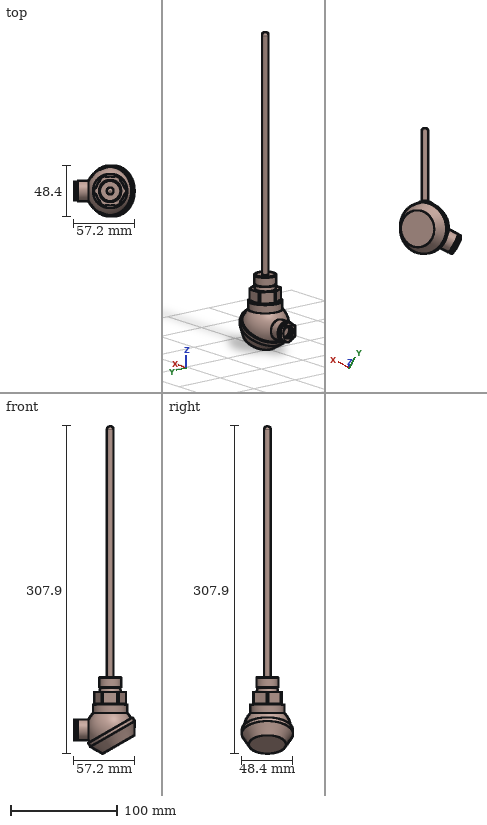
import cadquery as cq
import math


head_radius = 22.6
collar_diameter = 32.4
collar_top = 23.7
port_diameter = 19.6
port_end_x = -30.4

cover_tilt = 30.0
rim_diameter = 48.4
joint_offset = 0.4
rim_thickness = 4.0
cover_thickness = 15.5
cover_taper = 30.5

gland_end_x = -34.0
gland_nut_length = 2.0
gland_nut_flats = 17.6
gland_nut_corner_diameter = 19.6
gland_neck_diameter = 13.4
gland_bore_diameter = 12.0
gland_bore_depth = 6.0
gland_length = 10.0

hex_flats = 27.0
hex_corner_diameter = 30.1
hex_height = 11.0
thread_diameter = 20.955
thread_chamfer = 0.9
thread_length = 10.2
neck_height = 3.8
neck_top_diameter = 18.8
neck_base_diameter = 20.6

ring_diameter = 27.0
ring_thickness = 1.0

sheath_diameter = 6.5
sheath_tip_radius = 3.0
overall_height = 307.89

cone_height = cover_thickness - rim_thickness
cover_end_radius = rim_diameter / 2 - cone_height * math.tan(math.radians(cover_taper))
tilt = math.radians(cover_tilt)
lowest_z = -((joint_offset + cover_thickness) * math.cos(tilt) + cover_end_radius * math.sin(tilt))
hex_bottom = collar_top + ring_thickness
hex_top = hex_bottom + hex_height
thread_bottom = hex_top + neck_height
thread_top = thread_bottom + thread_length
sheath_top = lowest_z + overall_height
gland_socket_depth = gland_end_x + gland_length - port_end_x
circumscribed = 1 / math.cos(math.pi / 6)
trim_reach = 3 * head_radius

joint_plane = cq.Plane(
    origin=(joint_offset * math.sin(tilt), 0, -joint_offset * math.cos(tilt)),
    xDir=(math.cos(tilt), 0, math.sin(tilt)),
    normal=(-math.sin(tilt), 0, math.cos(tilt)),
)


def cylinder_along_x(start_x, diameter, length):
    return cq.Workplane("YZ", origin=(start_x, 0, 0)).circle(diameter / 2).extrude(length)


def upright_cylinder(start_z, diameter, height):
    return cq.Workplane("XY", origin=(0, 0, start_z)).circle(diameter / 2).extrude(height)


def make_housing():
    """Ball with a collar on top and a cable port, cut off flat along the slanted joint."""
    ball = cq.Workplane("XY").sphere(head_radius)
    collar = upright_cylinder(0, collar_diameter, collar_top)
    port = cylinder_along_x(port_end_x, port_diameter, -port_end_x)
    upper_side = cq.Workplane(joint_plane).circle(trim_reach).extrude(trim_reach)
    gland_socket = cylinder_along_x(port_end_x, gland_neck_diameter, gland_socket_depth)
    return ball.union(collar).union(port).intersect(upper_side).cut(gland_socket)


def make_cover():
    """Cylindrical rim that tapers to a flat end."""
    rim_radius = rim_diameter / 2
    joint_z = -joint_offset
    end_z = joint_z - cover_thickness
    half_profile = (
        cq.Workplane("XZ")
        .moveTo(0, joint_z)
        .lineTo(rim_radius, joint_z)
        .lineTo(rim_radius, joint_z - rim_thickness)
        .lineTo(cover_end_radius, end_z)
        .lineTo(0, end_z)
        .close()
    )
    upright_cover = half_profile.revolve(360, (0, 0, 0), (0, 1, 0))
    return upright_cover.rotate((0, 0, 0), (0, 1, 0), -cover_tilt)


def make_gland():
    """Thin hexagon with flats facing +Y and -Y, on a neck that fills the port socket, with a blind bore."""
    corner_turning = cylinder_along_x(gland_end_x, gland_nut_corner_diameter, gland_nut_length)
    hexagon = (
        cq.Workplane("YZ", origin=(gland_end_x, 0, 0))
        .transformed(rotate=(0, 0, 90))
        .polygon(6, gland_nut_flats * circumscribed)
        .extrude(gland_nut_length)
        .intersect(corner_turning)
    )
    neck = cylinder_along_x(gland_end_x, gland_neck_diameter, gland_length)
    bore = cylinder_along_x(gland_end_x, gland_bore_diameter, gland_bore_depth)
    return hexagon.union(neck).cut(bore)


def make_sealing_ring():
    """Flat ring around the sheath."""
    return upright_cylinder(collar_top, ring_diameter, ring_thickness).cut(
        upright_cylinder(collar_top, sheath_diameter, ring_thickness)
    )


def make_fitting():
    """Hexagon with rounded corners, tapered undercut neck and plain thread cylinder, bored for the sheath."""
    corner_turning = upright_cylinder(hex_bottom, hex_corner_diameter, hex_height)
    hexagon = (
        cq.Workplane("XY", origin=(0, 0, hex_bottom))
        .polygon(6, hex_flats * circumscribed)
        .extrude(hex_height)
        .intersect(corner_turning)
    )
    neck = (
        cq.Workplane("XY", origin=(0, 0, hex_top))
        .circle(neck_base_diameter / 2)
        .workplane(offset=neck_height)
        .circle(neck_top_diameter / 2)
        .loft()
    )
    thread = upright_cylinder(thread_bottom, thread_diameter, thread_length).edges().chamfer(thread_chamfer)
    bore = upright_cylinder(hex_bottom, sheath_diameter, thread_top - hex_bottom)
    return hexagon.union(neck).union(thread).cut(bore)


def make_sheath():
    """Long rod with a rounded tip, standing on the collar."""
    return (
        upright_cylinder(collar_top, sheath_diameter, sheath_top - collar_top)
        .faces(">Z")
        .edges()
        .fillet(sheath_tip_radius)
    )


housing = make_housing()
cover = make_cover()
gland = make_gland()
sealing_ring = make_sealing_ring()
fitting = make_fitting()
sheath = make_sheath()

result = cq.Compound.makeCompound(
    [housing.val(), cover.val(), gland.val(), sealing_ring.val(), fitting.val(), sheath.val()]
)